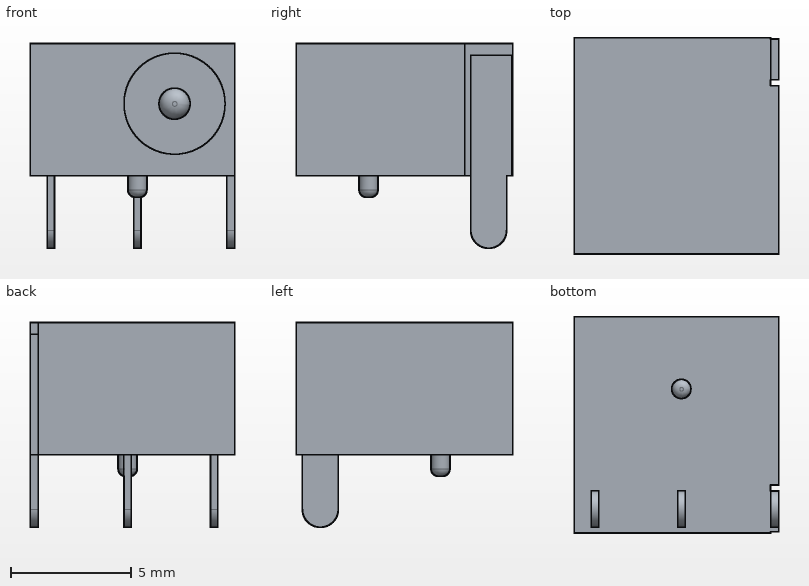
import cadquery as cq

width = 8.5
depth = 9.0
height = 5.5

socket_diameter = 4.2
socket_x = width - 2.5
socket_z = height - 2.5
socket_depth = 8.0
contact_diameter = 1.3
contact_tip_flat_diameter = 0.2
contact_tip_setback = 0.5

leg_drop = 8.51 - height
leg_width = 1.5
leg_back_gap = 0.25
leg_thickness = 0.315
left_leg_x = 0.7
middle_leg_x = 4.29
leg_embed = 0.18

notch_width = 0.33
notch_length = 2.0
plate_back_gap = 0.05
plate_length = 1.7
plate_height = 5.0

peg_diameter = 0.8
peg_length = 0.9
peg_round = 0.32
peg_x = middle_leg_x + leg_thickness / 2
peg_y = 3.01


def make_housing():
    """Box with a blind socket in front and a full-height notch at the back right corner."""
    box = cq.Workplane("XY").box(width, depth, height, centered=False)
    socket = (
        cq.Workplane("XZ", origin=(socket_x, 0, socket_z))
        .circle(socket_diameter / 2)
        .extrude(-socket_depth)
    )
    notch = (
        cq.Workplane("XY", origin=(width - notch_width, depth - notch_length, 0))
        .rect(notch_width, notch_length, centered=False)
        .extrude(height)
    )
    return box.cut(socket).cut(notch)


def make_contact():
    """Centre contact joined to the socket floor, with a rounded, slightly flattened tip."""
    length = socket_depth + leg_embed - contact_tip_setback
    tip_round = (contact_diameter - contact_tip_flat_diameter) / 2
    return (
        cq.Workplane("XZ", origin=(socket_x, contact_tip_setback, socket_z))
        .circle(contact_diameter / 2)
        .extrude(-length)
        .faces("<Y")
        .edges()
        .fillet(tip_round)
    )


def make_leg(left_x, thickness, top_z):
    """Vertical blade from top_z down to its full-round lower end."""
    radius = leg_width / 2
    back_y = depth - leg_back_gap
    front_y = back_y - leg_width
    round_z = radius - leg_drop
    return (
        cq.Workplane("YZ", origin=(left_x, 0, 0))
        .moveTo(front_y, top_z)
        .lineTo(front_y, round_z)
        .threePointArc((front_y + radius, -leg_drop), (back_y, round_z))
        .lineTo(back_y, top_z)
        .close()
        .extrude(thickness)
    )


def make_terminal_plate():
    """Plate filling most of the corner notch; the right leg continues below it."""
    plate_y = depth - plate_back_gap - plate_length
    return (
        cq.Workplane("XY", origin=(width - notch_width, plate_y, 0))
        .rect(notch_width, plate_length, centered=False)
        .extrude(plate_height)
    )


def make_peg():
    """Round locating peg with a rounded lower end."""
    return (
        cq.Workplane("XY", origin=(peg_x, peg_y, 0))
        .circle(peg_diameter / 2)
        .extrude(-peg_length)
        .faces("<Z")
        .edges()
        .fillet(peg_round)
    )


result = make_housing().union(make_contact())
for leg_x in (left_leg_x, middle_leg_x):
    result = result.union(make_leg(leg_x, leg_thickness, leg_embed))
result = result.union(make_terminal_plate())
result = result.union(make_leg(width - notch_width, notch_width, leg_embed))
result = result.union(make_peg())